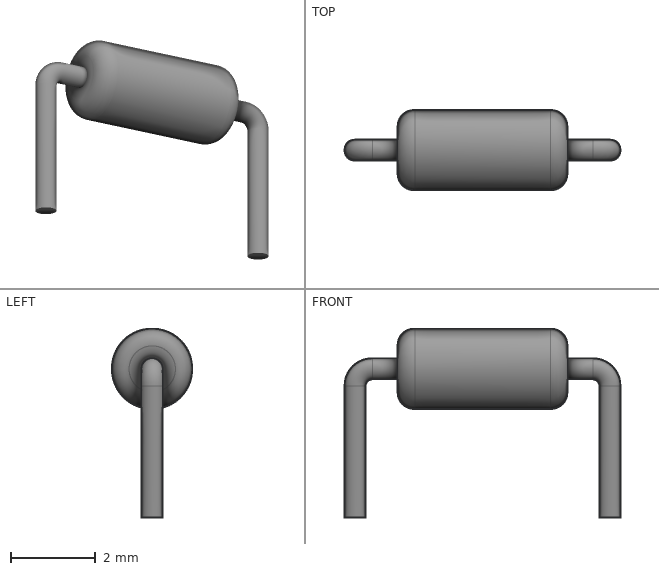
import cadquery as cq

overall_length = 6.5
overall_height = 4.45
body_diameter = 1.9
body_length = 4.005
body_end_radius = 0.4
lead_diameter = 0.5
bend_radius = 0.4

axis_height = overall_height - body_diameter / 2
body_end_x = body_length / 2
leg_x = (overall_length - lead_diameter) / 2


def make_body():
    """Cylindrical component body with rounded ends."""
    return (
        cq.Workplane("YZ", origin=(-body_end_x, 0, axis_height))
        .circle(body_diameter / 2)
        .extrude(body_length)
        .edges()
        .fillet(body_end_radius)
    )


def make_lead(side):
    """Round wire from a body end face, bent down to Z = 0; side is -1 or +1 along X."""
    start_x = side * body_end_x
    bend_start_x = side * (leg_x - bend_radius)
    bend_end = (side * leg_x, axis_height - bend_radius)
    centreline = (
        cq.Workplane("XZ")
        .moveTo(start_x, axis_height)
        .lineTo(bend_start_x, axis_height)
        .tangentArcPoint(bend_end, relative=False)
        .lineTo(side * leg_x, 0)
    )
    return (
        cq.Workplane("YZ", origin=(start_x, 0, axis_height))
        .circle(lead_diameter / 2)
        .sweep(centreline)
    )


body = make_body()
leads = [make_lead(side) for side in (-1, 1)]

result = cq.Compound.makeCompound([body.val(), *[lead.val() for lead in leads]])